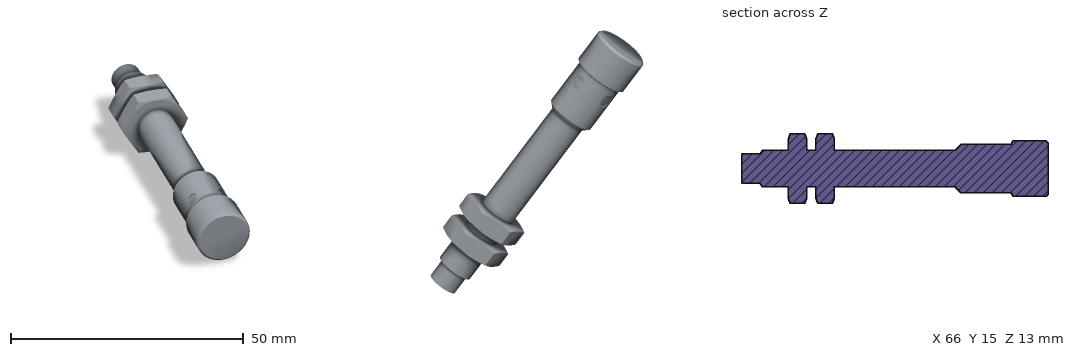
import cadquery as cq
import math

length = 66.0
tip_end = 4.0
barrel_start = 4.5
barrel_end = 45.95
sleeve_start = 47.2
sleeve_end = 57.95
head_start = 58.3

tip_dia = 6.5
barrel_dia = 8.0
sleeve_dia = 10.55
head_dia = 12.0

head_end_bevel = 0.5

nut_flats = 13.0
nut_thickness = 4.0
nut_starts = (10.0, 16.0)
nut_bevel_angle = 20.0
nut_face_dia = 12.9

window_dia = 3.0
window_x = 55.0
window_floor_radius = 4.95
window_count = 4
window_first_angle = 45.0


def turned(profile):
    """Revolve (x, radius) points, closed along the X axis, about that axis."""
    return cq.Workplane("XY").polyline(profile).close().revolve(360, (0, 0, 0), (1, 0, 0))


def make_body():
    return turned([
        (0, 0),
        (0, tip_dia / 2),
        (tip_end, tip_dia / 2),
        (barrel_start, barrel_dia / 2),
        (barrel_end, barrel_dia / 2),
        (sleeve_start, sleeve_dia / 2),
        (sleeve_end, sleeve_dia / 2),
        (head_start, head_dia / 2),
        (length - head_end_bevel, head_dia / 2),
        (length, head_dia / 2 - head_end_bevel),
        (length, 0),
    ])


def make_nut(start):
    """Hexagon nut whose corners are bevelled by a cone at both faces."""
    corner_radius = nut_flats / math.sqrt(3)
    face_radius = nut_face_dia / 2
    bevel = (corner_radius - face_radius) * math.tan(math.radians(nut_bevel_angle))
    end = start + nut_thickness
    hexagon = (
        cq.Workplane("YZ", origin=(start, 0, 0))
        .polygon(6, 2 * corner_radius)
        .extrude(nut_thickness)
    )
    envelope = turned([
        (start, 0),
        (start, face_radius),
        (start + bevel, corner_radius),
        (end - bevel, corner_radius),
        (end, face_radius),
        (end, 0),
    ])
    return hexagon.intersect(envelope)


def make_window_cutter(angle):
    return (
        cq.Workplane("XY", origin=(window_x, 0, window_floor_radius))
        .circle(window_dia / 2)
        .extrude(head_dia / 2 - window_floor_radius)
        .rotate((0, 0, 0), (1, 0, 0), angle)
    )


result = make_body()
for nut_start in nut_starts:
    result = result.union(make_nut(nut_start))
for index in range(window_count):
    window_angle = window_first_angle + index * 360 / window_count
    result = result.cut(make_window_cutter(window_angle))